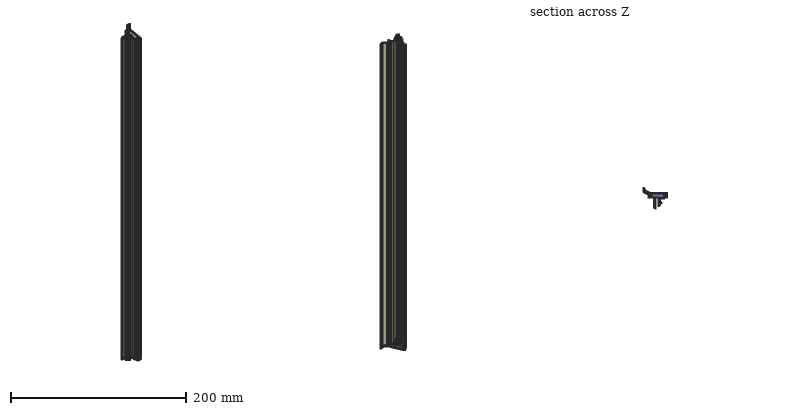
import cadquery as cq

length = 500.0
width = 27.0
depth = 23.5

left_edge = 6.0
plate_top = -6.0
plate_bottom = -8.5
flange_bottom = -11.0
flange_thickness = 1.0

lip_heel = -3.5
lip_bend_x = 1.0
lip_bend_y = -5.0
lip_elbow = 2.0
lip_elbow_top = -3.5
lip_root_top = -5.0
lip_root_bottom = -7.5
lip_tip_width = 0.5

pad_left = 9.0
pad_right = 23.5
pad_bottom = -11.0
pad_step_bottom = -12.0

long_leg_left = 12.0
long_leg_right = 14.0
long_leg_taper = 2.0
long_leg_tip = 0.5

short_leg_left = 17.0
short_leg_right = 19.0
short_leg_bottom = -20.5
short_leg_taper_top = -18.5
short_leg_tip = 0.5
barb_reach = 1.5
barb_top = -15.5
barb_bottom = -17.0


def bar(points):
    """Extrude a closed cross-section along the full length."""
    return cq.Workplane("XY").polyline(points).close().extrude(length)


def box(left, right, bottom, top):
    return bar([(left, bottom), (right, bottom), (right, top), (left, top)])


plate = box(left_edge, width, plate_bottom, plate_top)
pad = box(pad_left, pad_right, pad_bottom, plate_bottom).union(
    box(short_leg_left, pad_right, pad_step_bottom, pad_bottom)
)

flanges = box(left_edge, left_edge + flange_thickness, flange_bottom, plate_bottom).union(
    box(width - flange_thickness, width, flange_bottom, plate_bottom)
)

lip = bar([
    (0, 0),
    (lip_tip_width, 0),
    (lip_elbow, lip_elbow_top),
    (left_edge, lip_root_top),
    (left_edge, lip_root_bottom),
    (lip_bend_x, lip_bend_y),
    (0, lip_heel),
])

long_leg = bar([
    (long_leg_left, plate_bottom),
    (long_leg_left, long_leg_taper - depth),
    (long_leg_right - long_leg_tip, -depth),
    (long_leg_right, -depth),
    (long_leg_right, plate_bottom),
])

short_leg = bar([
    (short_leg_left, plate_bottom),
    (short_leg_left, short_leg_bottom),
    (short_leg_left + short_leg_tip, short_leg_bottom),
    (short_leg_right, short_leg_taper_top),
    (short_leg_right, barb_bottom),
    (short_leg_right + barb_reach, barb_bottom),
    (short_leg_right, barb_top),
    (short_leg_right, plate_bottom),
])

profile = plate.union(pad).union(flanges).union(lip).union(long_leg).union(short_leg)

result = profile.translate((-width / 2, depth / 2, -length / 2))